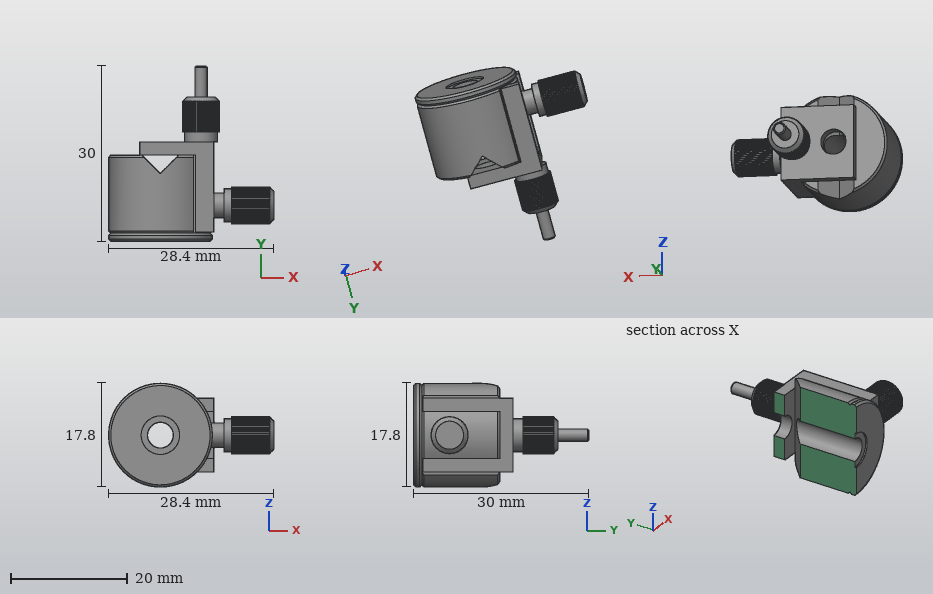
import cadquery as cq
import math

overall_width = 28.35

barrel_diameter = 17.8
barrel_radius = barrel_diameter / 2
barrel_length = 14.75
rim_chamfer = 0.4
groove_center_y = 1.38
groove_depth = 0.35
bore_diameter = 4.38
counterbore_diameter = 6.6
counterbore_depth = 0.3

notch_depth = 3.15

bracket_width = 12.7
bracket_right_x = 9.15
plate_thickness = 2.28
bracket_back_y = barrel_length + plate_thickness
leg_thickness = 3.18
leg_front_y = 1.55
tongue_width = 8.05
flat_x = 5.7
flat_front_y = 1.45

knob_radius = 3.18
knob_end_chamfer = 0.78
collar_diameter = 5.7
flute_count = 60
flute_width = 0.135
flute_depth = 0.1

side_knob_y = 6.15
shaft_diameter = 4.25
side_collar_x = 10.92
side_knurl_x = 12.18
side_knob_end_x = overall_width - barrel_radius

rear_knob_x = 6.95
rear_knurl_y = 18.75
rear_knob_end_y = 24.72

pin_diameter = 2.13
pin_end_y = 30.0
pin_chamfer = 0.25


def make_barrel():
    """Barrel turned about Y with chamfered rims and a V groove near the front."""
    inner_rim = barrel_radius - rim_chamfer
    return (
        cq.Workplane("XY")
        .moveTo(0, 0)
        .lineTo(inner_rim, 0)
        .lineTo(barrel_radius, rim_chamfer)
        .lineTo(barrel_radius, groove_center_y - groove_depth)
        .lineTo(barrel_radius - groove_depth, groove_center_y)
        .lineTo(barrel_radius, groove_center_y + groove_depth)
        .lineTo(barrel_radius, barrel_length - rim_chamfer)
        .lineTo(inner_rim, barrel_length)
        .lineTo(0, barrel_length)
        .close()
        .revolve(360, (0, 0, 0), (0, 1, 0))
    )


def box_between(x_range, y_range, z_range):
    """Box filling the given ranges along X, Y and Z."""
    sizes = [high - low for low, high in (x_range, y_range, z_range)]
    corner = (x_range[0], y_range[0], z_range[0])
    return cq.Workplane("XY").box(*sizes, centered=False).translate(corner)


def cut_side_flats(barrel):
    """Flats above and below a central tongue on the +X side."""
    for side in (1, -1):
        z_range = sorted((side * tongue_width / 2, side * barrel_radius))
        barrel = barrel.cut(box_between((flat_x, barrel_radius), (flat_front_y, barrel_length), z_range))
    return barrel


def make_notch():
    """Right-angled V running the full height of the barrel."""
    return (
        cq.Workplane("XY")
        .moveTo(0, barrel_length - notch_depth)
        .lineTo(notch_depth, barrel_length)
        .lineTo(-notch_depth, barrel_length)
        .close()
        .extrude(barrel_radius, both=True)
    )


def make_bracket():
    """Plate and leg, with the leg slotted to straddle the barrel tongue."""
    x_range = (bracket_right_x - bracket_width, bracket_right_x)
    z_range = (-bracket_width / 2, bracket_width / 2)
    slot_z_range = (-tongue_width / 2, tongue_width / 2)
    leg_x_range = (bracket_right_x - leg_thickness, bracket_right_x)
    leg_y_range = (leg_front_y, barrel_length)
    plate = box_between(x_range, (barrel_length, bracket_back_y), z_range)
    leg = box_between(leg_x_range, leg_y_range, z_range)
    slot = box_between(leg_x_range, leg_y_range, slot_z_range)
    return plate.union(leg.cut(slot))


def at_polar(radius, angle):
    """Point in the XY plane at a radius and an angle in radians."""
    return (radius * math.cos(angle), radius * math.sin(angle))


def make_knurl(length):
    """Knurled head along +Z from Z = 0: V flutes all around and a 45 degree far end."""
    pitch = 2 * math.pi / flute_count
    half_flute = flute_width / 2 / knob_radius
    outline = cq.Workplane("XY").moveTo(*at_polar(knob_radius, -half_flute))
    for i in range(flute_count):
        flute_angle = i * pitch
        land_angle = flute_angle + pitch / 2
        outline = (
            outline.lineTo(*at_polar(knob_radius - flute_depth, flute_angle))
            .lineTo(*at_polar(knob_radius, flute_angle + half_flute))
            .threePointArc(
                at_polar(knob_radius, land_angle),
                at_polar(knob_radius, flute_angle + pitch - half_flute),
            )
        )
    fluted = outline.close().extrude(length)
    cone_base_radius = knob_radius - knob_end_chamfer + length
    cone = cq.Workplane("XY").circle(cone_base_radius).extrude(length, taper=45)
    return fluted.intersect(cone)


def rod(diameter, start, end):
    """Cylinder along Z between two heights."""
    return cq.Workplane("XY").workplane(offset=start).circle(diameter / 2).extrude(end - start)


def make_side_knob():
    """Shaft, collar and head pointing along +X."""
    knurl_length = side_knob_end_x - side_knurl_x
    knob = (
        rod(shaft_diameter, flat_x, side_collar_x)
        .union(rod(collar_diameter, side_collar_x, side_knurl_x))
        .union(make_knurl(knurl_length).translate((0, 0, side_knurl_x)))
    )
    return knob.rotate((0, 0, 0), (0, 1, 0), 90).translate((0, side_knob_y, 0))


def make_rear_knob():
    """Collar, head and pin pointing along +Y."""
    knurl_length = rear_knob_end_y - rear_knurl_y
    pin = rod(pin_diameter, rear_knob_end_y, pin_end_y).faces(">Z").chamfer(pin_chamfer)
    knob = (
        rod(collar_diameter, bracket_back_y, rear_knurl_y)
        .union(make_knurl(knurl_length).translate((0, 0, rear_knurl_y)))
        .union(pin)
    )
    return knob.rotate((0, 0, 0), (1, 0, 0), -90).translate((rear_knob_x, 0, 0))


def hole_along_y(diameter, depth):
    """Round cutter on the barrel axis, starting at the front face."""
    return cq.Workplane("XZ").circle(diameter / 2).extrude(-depth)


body = cut_side_flats(make_barrel()).cut(make_notch()).union(make_bracket())
body = body.union(make_side_knob()).union(make_rear_knob())
body = body.cut(hole_along_y(bore_diameter, bracket_back_y))
result = body.cut(hole_along_y(counterbore_diameter, counterbore_depth))